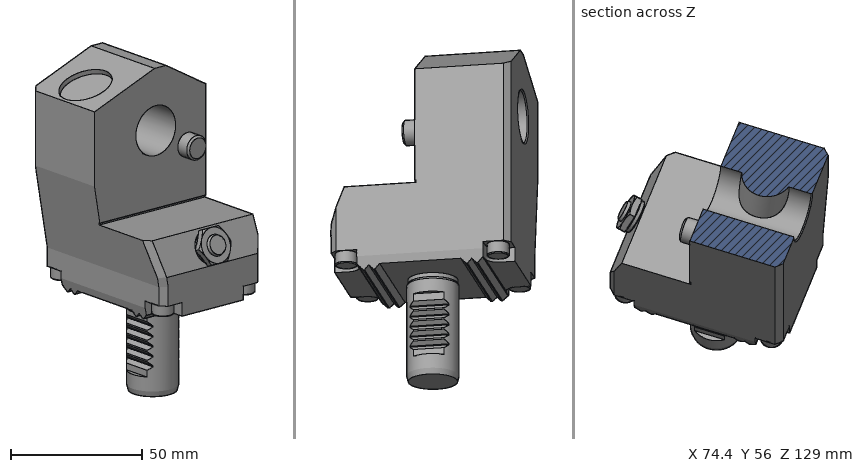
import cadquery as cq
import math


HALF_LENGTH = 35.0
HALF_WIDTH = 25.0
HEIGHT = 88.0
HEAD_OVERHANG = 6.0
OVERHANG_START_Z = 13.0
OVERHANG_ANGLE = 10.0
FRONT_WALL_TOP_Z = 77.0
FRONT_ROOF_ANGLE = 20.0
BACK_ROOF_ANGLE = 30.0
RIDGE_BACK_Y = 5.0
HEAD_END_X = 2.0
LEDGE_Z = 31.0
SLOPE_RUN = 5.6
SLOPE_ANGLE = 22.0
RELIEF_DEPTH = 0.5
RELIEF_HEIGHT = 0.8
EDGE_CHAMFER = 2.5
BEVEL_TOP_Z = 2.7
BEVEL_INSET = 1.2

BORE_DIAMETER = 20.0
BORE_MOUTH_CHAMFER = 0.5
BORE_Y = -0.2
BORE_Z = 63.0
RECESS_DIAMETER = 21.0
BOLT_DIAMETER = 20.0
BOLT_X = -16.0
BOLT_Y = -20.0
BOLT_SINK = 2.0
BOLT_LENGTH = 36.0

PIN_DIAMETER = 9.8
PIN_EDGE = 0.8
PIN_LENGTH = 6.0
PIN_Y = 15.8
PIN_Z = 54.0

SCREW_DIAMETER = 8.5
SCREW_X = 29.5
SCREW_Y = 20.4
SCREW_END_Z = 0.8
SCREW_EDGE = 0.4
POCKET_RADIUS = 5.0
POCKET_TOP_Z = 5.5

SEAT_DROP = 0.4
TOOTH_TIP_Z = -2.4
TOOTH_TIP_WIDTH = 0.5
TOOTH_PITCH = 4.0
TOOTH_PAIR_X = 20.0

SHANK_DIAMETER = 20.0
SHANK_LENGTH = 41.0
NECK_DIAMETER = 19.1
NECK_END_Z = -2.0
NECK_CONE_HEIGHT = 0.8
SHANK_END_TAPER = 2.2
SHANK_TAPER_ANGLE = 15.0
FLAT_Y = 8.0
FLAT_TOP_Z = -8.0
FLAT_BOTTOM_Z = -33.0
GROOVE_COUNT = 5
GROOVE_PITCH = 4.0
GROOVE_DEPTH = 1.5
GROOVE_FLOOR = 0.4
FIRST_GROOVE_Z = -12.6

NOZZLE_Z = 23.8
COLLAR_DIAMETER = 13.2
COLLAR_RIM_DIAMETER = 12.6
COLLAR_END = 2.0
HEX_ACROSS_FLATS = 14.0
HEX_CHAMFER_ANGLE = 30.0
NOZZLE_DIAMETER = 8.5
NOZZLE_TIP_DIAMETER = 7.6
NOZZLE_END = 6.1
HEX_REACH_X = 39.41

TOLERANCE = 0.01

HEAD_FRONT_Y = -HALF_WIDTH - HEAD_OVERHANG
OVERHANG_END_Z = OVERHANG_START_Z + HEAD_OVERHANG / math.tan(math.radians(OVERHANG_ANGLE))
FRONT_ROOF_RUN = (HEIGHT - FRONT_WALL_TOP_Z) / math.tan(math.radians(FRONT_ROOF_ANGLE))
RIDGE_FRONT_Y = HEAD_FRONT_Y + FRONT_ROOF_RUN
BACK_WALL_TOP_Z = HEIGHT - (HALF_WIDTH - RIDGE_BACK_Y) * math.tan(math.radians(BACK_ROOF_ANGLE))
SLOPE_TOP_X = HALF_LENGTH - SLOPE_RUN
SLOPE_DROP = SLOPE_RUN / math.tan(math.radians(SLOPE_ANGLE))
NOZZLE_X = SLOPE_TOP_X + (LEDGE_Z - NOZZLE_Z) * math.tan(math.radians(SLOPE_ANGLE))
FRONT_ROOF_SLOPE = math.tan(math.radians(FRONT_ROOF_ANGLE))
BOLT_Z = FRONT_WALL_TOP_Z + (BOLT_Y - HEAD_FRONT_Y) * FRONT_ROOF_SLOPE
SLOPE_SIN = math.sin(math.radians(SLOPE_ANGLE))
SLOPE_COS = math.cos(math.radians(SLOPE_ANGLE))
HEX_END = (HEX_REACH_X - NOZZLE_X - HEX_ACROSS_FLATS / 2 * SLOPE_SIN) / SLOPE_COS


def make_housing():
    end_outline = [
        (HALF_WIDTH, 0),
        (HALF_WIDTH, BACK_WALL_TOP_Z),
        (RIDGE_BACK_Y, HEIGHT),
        (RIDGE_FRONT_Y, HEIGHT),
        (HEAD_FRONT_Y, FRONT_WALL_TOP_Z),
        (HEAD_FRONT_Y, OVERHANG_END_Z),
        (-HALF_WIDTH, OVERHANG_START_Z),
        (-HALF_WIDTH, 0),
    ]
    side_outline = [
        (-HALF_LENGTH, 0),
        (-HALF_LENGTH, HEIGHT),
        (HEAD_END_X, HEIGHT),
        (HEAD_END_X, LEDGE_Z),
        (SLOPE_TOP_X, LEDGE_Z),
        (HALF_LENGTH, LEDGE_Z - SLOPE_DROP),
        (HALF_LENGTH, 0),
    ]
    bar = cq.Workplane("YZ").polyline(end_outline).close().extrude(HALF_LENGTH, both=True)
    side = cq.Workplane("XZ").polyline(side_outline).close().extrude(2 * HEIGHT, both=True)
    return bar.intersect(side)


def is_outer_corner(edge):
    """True for the upright corner edges at the -X end and at the foot end."""
    center = edge.Center()
    direction = edge.tangentAt(0)
    upright = abs(direction.z) > max(abs(direction.x), abs(direction.y))
    on_back = center.y > HALF_WIDTH - TOLERANCE
    on_front = center.y < -HALF_WIDTH + TOLERANCE
    on_far_end = center.x < -HALF_LENGTH + TOLERANCE
    on_foot_end = center.x > HALF_LENGTH - TOLERANCE
    on_slope = SLOPE_TOP_X < center.x < HALF_LENGTH - TOLERANCE
    on_end = on_far_end or on_foot_end
    return upright and ((on_end and on_back) or ((on_end or on_slope) and on_front))


def chamfer_edges(housing):
    edges = [edge for edge in housing.edges().vals() if is_outer_corner(edge)]
    return housing.newObject(edges).chamfer(EDGE_CHAMFER)


def cut_relief(housing):
    """Cut a small slot under the head wall, where it meets the ledge."""
    corner = cq.Workplane("XY", origin=(HEAD_END_X - RELIEF_DEPTH, 0, LEDGE_Z))
    slot = corner.box(RELIEF_DEPTH, 4 * HALF_WIDTH, RELIEF_HEIGHT, centered=(False, True, False))
    return housing.cut(slot)


def bevel_y(z):
    """Y of the bevelled side wall at height z."""
    return HALF_WIDTH - BEVEL_INSET * (BEVEL_TOP_Z - z) / (BEVEL_TOP_Z - TOOTH_TIP_Z)


def bevel_bottom(housing):
    for side in (1, -1):
        wedge = (
            cq.Workplane("YZ")
            .moveTo(side * HALF_WIDTH, BEVEL_TOP_Z)
            .lineTo(side * bevel_y(TOOTH_TIP_Z), TOOTH_TIP_Z)
            .lineTo(side * HALF_WIDTH, TOOTH_TIP_Z)
            .close()
            .extrude(HALF_LENGTH, both=True)
        )
        housing = housing.cut(wedge)
    return housing


def make_seat():
    """Raised seat between the corner pockets, with a pair of serrations near each end."""
    seat_end = SCREW_X - POCKET_RADIUS
    tooth_height = abs(TOOTH_TIP_Z) - SEAT_DROP
    half_root = tooth_height + TOOTH_TIP_WIDTH / 2
    seat = cq.Workplane("XZ").rect(2 * seat_end, 2 * SEAT_DROP).extrude(HALF_WIDTH, both=True)
    for pair_x in (-TOOTH_PAIR_X, TOOTH_PAIR_X):
        for offset in (-TOOTH_PITCH / 2, TOOTH_PITCH / 2):
            x = pair_x + offset
            tooth_outline = [
                (x - half_root, -SEAT_DROP),
                (x - TOOTH_TIP_WIDTH / 2, TOOTH_TIP_Z),
                (x + TOOTH_TIP_WIDTH / 2, TOOTH_TIP_Z),
                (x + half_root, -SEAT_DROP),
            ]
            tooth = cq.Workplane("XZ").polyline(tooth_outline).close().extrude(HALF_WIDTH, both=True)
            seat = seat.union(tooth)
    return seat


def cut_corner_pockets(body):
    for x_side in (-1, 1):
        for y_side in (-1, 1):
            x = x_side * SCREW_X
            y = y_side * SCREW_Y
            inner_x = x - x_side * POCKET_RADIUS
            inner_y = y - y_side * POCKET_RADIUS
            outer_x = x_side * HALF_LENGTH
            outer_y = y_side * HALF_WIDTH
            corner = POCKET_RADIUS * math.sqrt(0.5)
            pocket = (
                cq.Workplane("XY", origin=(0, 0, TOOTH_TIP_Z))
                .moveTo(outer_x, inner_y)
                .lineTo(x, inner_y)
                .threePointArc((x - x_side * corner, y - y_side * corner), (inner_x, y))
                .lineTo(inner_x, outer_y)
                .lineTo(outer_x, outer_y)
                .close()
                .extrude(POCKET_TOP_Z - TOOTH_TIP_Z)
            )
            body = body.cut(pocket)
    return body


def make_screws():
    centers = [(x, y) for x in (-SCREW_X, SCREW_X) for y in (-SCREW_Y, SCREW_Y)]
    return (
        cq.Workplane("XY", origin=(0, 0, SCREW_END_Z))
        .pushPoints(centers)
        .circle(SCREW_DIAMETER / 2)
        .extrude(POCKET_TOP_Z - SCREW_END_Z)
        .faces("<Z")
        .edges()
        .chamfer(SCREW_EDGE)
    )


def make_shank():
    radius = SHANK_DIAMETER / 2
    neck_radius = NECK_DIAMETER / 2
    end_radius = radius - SHANK_END_TAPER * math.tan(math.radians(SHANK_TAPER_ANGLE))
    half_outline = [
        (0, 0),
        (neck_radius, 0),
        (neck_radius, NECK_END_Z),
        (radius, NECK_END_Z - NECK_CONE_HEIGHT),
        (radius, SHANK_END_TAPER - SHANK_LENGTH),
        (end_radius, -SHANK_LENGTH),
        (0, -SHANK_LENGTH),
    ]
    shank = cq.Workplane("XZ").polyline(half_outline).close().revolve(360, (0, 0, 0), (0, 1, 0))
    for side in (1, -1):
        shank = shank.cut(make_shank_teeth_cut(side))
    return shank


def make_shank_teeth_cut(side):
    """Material removed on one side of the shank: a flat with grooves across it."""
    floor_y = FLAT_Y - GROOVE_DEPTH
    half_mouth = GROOVE_DEPTH + GROOVE_FLOOR / 2
    outline = [(side * SHANK_DIAMETER, FLAT_TOP_Z), (side * FLAT_Y, FLAT_TOP_Z)]
    for index in range(GROOVE_COUNT):
        z = FIRST_GROOVE_Z - index * GROOVE_PITCH
        outline.append((side * FLAT_Y, z + half_mouth))
        outline.append((side * floor_y, z + GROOVE_FLOOR / 2))
        outline.append((side * floor_y, z - GROOVE_FLOOR / 2))
        outline.append((side * FLAT_Y, z - half_mouth))
    outline.append((side * FLAT_Y, FLAT_BOTTOM_Z))
    outline.append((side * SHANK_DIAMETER, FLAT_BOTTOM_Z))
    return cq.Workplane("YZ").polyline(outline).close().extrude(SHANK_DIAMETER, both=True)


def make_bore():
    mouth = cq.Workplane("YZ", origin=(-HALF_LENGTH, BORE_Y, BORE_Z))
    bore = mouth.circle(BORE_DIAMETER / 2).extrude(HALF_LENGTH + HEAD_END_X)
    countersink = (
        mouth.circle(BORE_DIAMETER / 2 + BORE_MOUTH_CHAMFER)
        .workplane(offset=BORE_MOUTH_CHAMFER)
        .circle(BORE_DIAMETER / 2)
        .loft()
    )
    return bore.union(countersink)


def roof_plane():
    """Plane on the front roof, centred on the clamp bolt, facing outwards."""
    angle = math.radians(FRONT_ROOF_ANGLE)
    normal = (0, -math.sin(angle), math.cos(angle))
    return cq.Plane(origin=(BOLT_X, BOLT_Y, BOLT_Z), xDir=(1, 0, 0), normal=normal)


def make_bolt_recess():
    return cq.Workplane(roof_plane()).circle(RECESS_DIAMETER / 2).extrude(-BOLT_SINK)


def make_bolt():
    return (
        cq.Workplane(roof_plane())
        .workplane(offset=-BOLT_LENGTH)
        .circle(BOLT_DIAMETER / 2)
        .extrude(BOLT_LENGTH - BOLT_SINK)
    )


def make_pin():
    return (
        cq.Workplane("YZ", origin=(HEAD_END_X, PIN_Y, PIN_Z))
        .circle(PIN_DIAMETER / 2)
        .extrude(PIN_LENGTH)
        .faces(">X")
        .edges()
        .chamfer(PIN_EDGE)
    )


def nozzle_plane(distance):
    """Plane across the nozzle axis at a distance out from the foot slope."""
    origin = (NOZZLE_X + distance * SLOPE_COS, 0, NOZZLE_Z + distance * SLOPE_SIN)
    return cq.Plane(origin=origin, xDir=(0, 1, 0), normal=(SLOPE_COS, 0, SLOPE_SIN))


def make_nozzle():
    """Coolant nozzle standing on the foot slope: collar, hexagon and conical outlet."""
    collar = (
        cq.Workplane(nozzle_plane(0))
        .circle(COLLAR_DIAMETER / 2)
        .extrude(COLLAR_END)
        .edges("%CIRCLE")
        .chamfer((COLLAR_DIAMETER - COLLAR_RIM_DIAMETER) / 2)
    )
    outlet = (
        cq.Workplane(nozzle_plane(HEX_END))
        .circle(NOZZLE_DIAMETER / 2)
        .workplane(offset=NOZZLE_END - HEX_END)
        .circle(NOZZLE_TIP_DIAMETER / 2)
        .loft()
    )
    return collar.union(make_hexagon()).union(outlet)


def make_hexagon():
    """Hexagon with its outer corners turned off by a cone."""
    height = HEX_END - COLLAR_END
    flat_radius = HEX_ACROSS_FLATS / 2
    corner_radius = flat_radius / math.cos(math.pi / 6)
    chamfer_width = corner_radius - flat_radius
    chamfer_height = chamfer_width * math.tan(math.radians(HEX_CHAMFER_ANGLE))
    hexagon = cq.Workplane(nozzle_plane(COLLAR_END)).polygon(6, 2 * corner_radius).extrude(height)
    profile = [
        (0, 0),
        (corner_radius, 0),
        (corner_radius, height - chamfer_height),
        (flat_radius, height),
        (0, height),
    ]
    turned = cq.Workplane("XZ").polyline(profile).close().revolve(360, (0, 0, 0), (0, 1, 0))
    turned_solid = turned.val().moved(cq.Location(nozzle_plane(COLLAR_END)))
    return hexagon.intersect(cq.Workplane(turned_solid))


housing = chamfer_edges(make_housing())
housing = cut_relief(housing)
housing = housing.union(make_seat())
housing = bevel_bottom(housing)
housing = cut_corner_pockets(housing)
housing = housing.cut(make_bore())
housing = housing.cut(make_bolt_recess())

result = (
    housing
    .union(make_bolt())
    .union(make_screws())
    .union(make_shank())
    .union(make_pin())
    .union(make_nozzle())
)